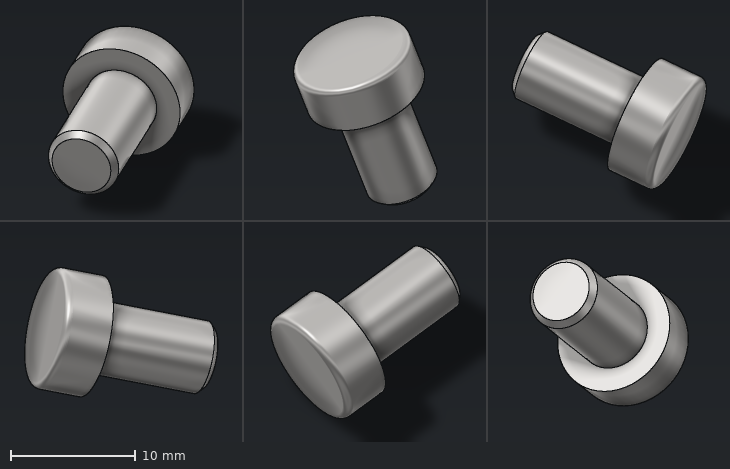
import cadquery as cq

total_length = 14.0
head_diameter = 10.0
head_height = 4.0
head_fillet = 0.57
shank_diameter = 6.0
tip_chamfer = 0.5

shank_length = total_length - head_height


def cylinder_along_y(diameter, start_y, length):
    """Solid cylinder on the Y axis, running from start_y toward +Y."""
    base = cq.Workplane("XZ", origin=(0, start_y, 0))
    return base.circle(diameter / 2).extrude(-length)


shank = cylinder_along_y(shank_diameter, 0, shank_length)
shank = shank.faces("<Y").edges().chamfer(tip_chamfer)

head = cylinder_along_y(head_diameter, shank_length, head_height)
head = head.faces(">Y").edges().fillet(head_fillet)

result = shank.union(head)